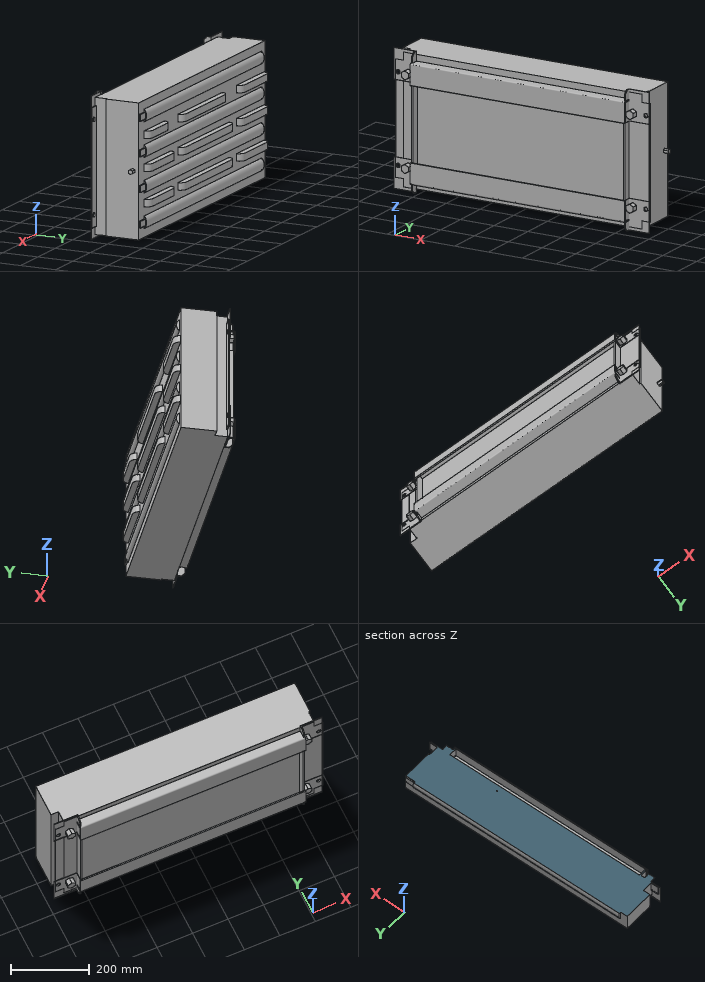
import cadquery as cq
import math

length = 758.0
depth = 170.0
height = 379.0

body_left, body_right = 7.0, 738.0
neck_left, neck_right = 28.0, 734.0
body_height = 362.5
body_front, step_y, body_back = 27.0, 60.0, 153.0

strip_left = 4.5
strip_height = 318.5
strip_front = body_front
strip_back = 30.0
facing_front = 26.5

bracket_right = 756.0
bracket_inner_z = 104.0
bracket_front = 26.0
flange_left, flange_right = 64.0, 698.0
flange_thickness = 3.0
bend_radius = 2.0
flange_front = 7.0
flange_chamfer = 9.0

wall_left, wall_right = 64.5, 697.0
wall_thickness = 4.5
wall_front = 4.5

bar_left, bar_right = 63.0, 698.5
bar_outer_z = 163.0
bar_end_depth = 22.0
bar_thickness = 4.0
bar_radius = 4.5

fastener_z = 126.0
pin_x = (42.5, 708.0)
pin_flats = 21.0
pin_front = 9.0
hole_x = (12.0, 746.0)
hole_diameter = 11.0

rib_left, rib_right = 29.0, 707.0
rib_spacing = 94.0
rib_count = 4
rib_width, tail_width = 33.0, 18.0
rib_rise = 7.5
tail_rise = 4.0

pad_width = 20.0
pad_end = 20.0
pad_end_bulge = 0.7
top_pads = ((13.0, 173.0), (255.0, 512.0), (588.5, 707.0))
lower_pads = ((13.0, 173.0), (216.0, 512.0), (552.0, 707.0))
pad_rows = ((90.0, top_pads), (3.0, lower_pads), (-90.0, lower_pads))

stud_y = 136.5
stud_flats = 11.0
stud_end = 752.0


def block(x0, x1, y0, y1, z0, z1):
    """Axis-aligned box between two corners."""
    return cq.Workplane("XY").box(x1 - x0, y1 - y0, z1 - z0, centered=False).translate((x0, y0, z0))


def upright(x0, x1, y0, y1, z_height):
    """Box centred on Z = 0."""
    return block(x0, x1, y0, y1, -z_height / 2, z_height / 2)


def cylinder_along_y(x, z, diameter, y0, y1):
    axis = cq.Vector(0, 1, 0)
    return cq.Workplane(cq.Solid.makeCylinder(diameter / 2, y1 - y0, cq.Vector(x, y0, z), axis))


def hexagon(plane, origin, across_flats):
    """Hexagon with flat sides at the left and right of its plane."""
    corner_radius = across_flats / math.sqrt(3)
    corners = [(corner_radius * math.sin(i * math.pi / 3), corner_radius * math.cos(i * math.pi / 3))
               for i in range(6)]
    return cq.Workplane(plane, origin=origin).polyline(corners).close()


def top_bracket(x0, x1, flange_x, bend_selector):
    """Upper corner bracket; its flange is chamfered at the outer front corner."""
    plate = block(x0, x1, bracket_front, strip_front, bracket_inner_z, height / 2)
    flange = block(flange_x, flange_x + flange_thickness, flange_front, strip_front,
                   bracket_inner_z, height / 2)
    bracket = plate.union(flange.edges("<Y and >Z").chamfer(flange_chamfer))
    return bracket.edges(bend_selector).fillet(bend_radius)


def bend_line(x):
    """Selector for the upright inside corner where a bracket flange meets its plate."""
    margin = 1.0
    return cq.selectors.BoxSelector((x - margin, bracket_front - margin, 0),
                                    (x + margin, bracket_front + margin, height))


def top_bar():
    """Upper angle bar with a rounded outer corner; between the flanges it reaches the cabinet."""
    bar = block(bar_left, bar_right, 0, body_front, bracket_inner_z, bar_outer_z)
    bar = bar.edges("<Y and >Z").fillet(bar_radius)
    bar = bar.cut(block(bar_left, bar_right, bar_thickness, body_front,
                        bracket_inner_z, bar_outer_z - bar_thickness))
    for x0, x1 in ((bar_left, flange_left), (flange_right, bar_right)):
        bar = bar.cut(block(x0, x1, bar_end_depth, body_front, bracket_inner_z, bar_outer_z))
    return bar


def rib(z):
    """Rounded rib along X on the back face, continued by a thin tail."""
    ridge = (
        cq.Workplane("YZ", origin=(rib_left, 0, 0))
        .moveTo(body_back, z - rib_width / 2)
        .threePointArc((body_back + rib_rise, z), (body_back, z + rib_width / 2))
        .close()
        .extrude(rib_right - rib_left)
    )
    tail = block(rib_right, neck_right, body_back, body_back + tail_rise,
                 z - tail_width / 2, z + tail_width / 2)
    return ridge.union(tail)


def pad(x0, x1, z):
    """Flat pad on the back face with curved ends."""
    rise = depth - body_back
    shoulder_height = body_back + pad_end_bulge * rise
    shoulder = (1 - pad_end_bulge) * pad_end
    profile = (
        cq.Workplane("XY", origin=(0, 0, z - pad_width / 2))
        .moveTo(x0, body_back)
        .threePointArc((x0 + shoulder, shoulder_height), (x0 + pad_end, depth))
        .lineTo(x1 - pad_end, depth)
        .threePointArc((x1 - shoulder, shoulder_height), (x1, body_back))
        .close()
    )
    return profile.extrude(pad_width)


result = upright(body_left, body_right, step_y, body_back, body_height)
result = result.union(upright(neck_left, neck_right, body_front, step_y, body_height))

result = result.union(upright(strip_left, length, strip_front, strip_back, strip_height))

for x0, x1 in ((neck_left, wall_left), (wall_right, bracket_right)):
    result = result.union(upright(x0, x1, facing_front, body_front, strip_height))

for wall_x in (wall_left, wall_right - wall_thickness):
    result = result.union(upright(wall_x, wall_x + wall_thickness, wall_front, body_front, strip_height))

frame = top_bar()
frame = frame.union(top_bracket(0, flange_left + flange_thickness, flange_left, bend_line(flange_left)))
frame = frame.union(top_bracket(flange_right - flange_thickness, bracket_right,
                                flange_right - flange_thickness, bend_line(flange_right)))
result = result.union(frame).union(frame.mirror("XY"))

for z in (fastener_z, -fastener_z):
    for x in pin_x:
        pin = hexagon("XZ", (x, strip_front, z), pin_flats)
        result = result.union(pin.extrude(strip_front - pin_front))
    for x in hole_x:
        result = result.cut(cylinder_along_y(x, z, hole_diameter, bracket_front, strip_back))

for i in range(rib_count):
    result = result.union(rib((i - (rib_count - 1) / 2) * rib_spacing))
for row_z, pads in pad_rows:
    for pad_start, pad_stop in pads:
        result = result.union(pad(pad_start, pad_stop, row_z))

stud = hexagon("YZ", (body_right, stud_y, 0), stud_flats)
result = result.union(stud.extrude(stud_end - body_right))